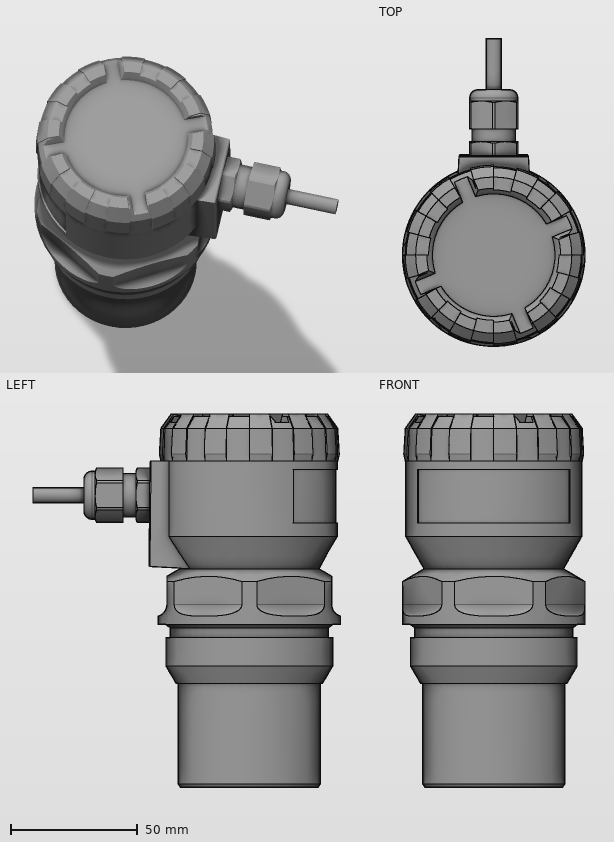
import cadquery as cq
import math

total_height = 147.2
total_depth = 121.3

probe_radius = 56.0 / 2
probe_chamfer = 0.9
probe_chamfer_height = 1.3
collar_cone_bottom_z = 40.9
collar_cone_bottom_radius = 28.8
collar_bottom_z = 47.8
collar_top_z = 59.0
collar_radius = 65.8 / 2
groove_radius = 62.4 / 2
groove_top_z = 62.8
flange_bottom_z = 64.2
flange_bevel_radius = 33.0

flange_radius = 72.0 / 2
flat_count = 6
flats_apothem = 32.5
flats_runout_radius = 4.7
flats_runout_z = 72.0
nut_cone_z = 81.1
neck_z = 86.1
neck_radius = 27.5

housing_radius = 34.7
housing_cone_top_z = 98.9
housing_top_z = 128.6
label_bottom_z = 104.0
label_top_z = 125.2
label_depth = 0.6
label_angle = 120

grip_count = 12
grip_angle = 360 / (2 * grip_count)
lid_radius = 34.9
lid_low_shoulder_radius = 34.5
lid_shoulder_z = 141.4
lid_low_top_z = 146.1
lid_top_radius = 30.8
grip_bulge_radius = 35.5
grip_bulge_z = 131.3
lid_floor_z = 143.8
lid_floor_radius = 24.1
lid_rim_radius = 26.3
notch_count = 4
notch_start_angle = 1.5 * grip_angle
notch_straight_side = 3.4
notch_sloped_side = 2.2
notch_slope = 1.9

boss_half_width = 13.7
boss_front_y = 39.1
boss_front_lean = 0.5
boss_edge_chamfer = 0.5
boss_bottom_z = 87.0
boss_root_y = 14.7
boss_draft = math.radians(3)

gland_z = 115.1
gland_across_flats = 19.1
gland_corner_radius = 10.7
gland_corner_chamfer = 0.6
gland_neck_radius = 17.2 / 2
gland_dome_radius = 19.0 / 2
gland_dome_round = 3.2
gland_base_top_y = 44.7
gland_cap_bottom_y = 49.7
gland_cap_top_y = 60.8
gland_dome_y = 65.2
cable_radius = 6.0 / 2
cable_end_y = total_depth - flange_radius


def revolve_z(points, angle=360):
    """Turn a (radius, z) outline about Z, counterclockwise from +X when seen from above."""
    outline = cq.Workplane("XZ").polyline(points).close()
    return outline.revolve(angle, (0, 0, 0), (0, 1, 0))


def make_body():
    return revolve_z([
        (0, 0),
        (probe_radius - probe_chamfer, 0),
        (probe_radius, probe_chamfer_height),
        (probe_radius, collar_cone_bottom_z),
        (collar_cone_bottom_radius, collar_cone_bottom_z),
        (collar_radius, collar_bottom_z),
        (collar_radius, collar_top_z),
        (groove_radius, collar_top_z),
        (groove_radius, groove_top_z),
        (flange_bevel_radius, flange_bottom_z),
        (flange_radius, flange_bottom_z),
        (flange_radius, nut_cone_z),
        (neck_radius, neck_z),
        (housing_radius, housing_cone_top_z),
        (housing_radius, housing_top_z),
        (0, housing_top_z),
    ])


def cut_wrench_flats(body):
    """Six flats whose lower ends run out through a concave round."""
    run_out = flats_runout_radius
    cutter = (
        cq.Workplane("YZ")
        .moveTo(-flats_apothem, neck_z)
        .lineTo(-flats_apothem, flats_runout_z)
        .radiusArc((-flats_apothem - run_out, flats_runout_z - run_out), run_out)
        .lineTo(-flats_apothem - run_out, neck_z)
        .close()
        .extrude(flange_radius, both=True)
    )
    for i in range(flat_count):
        body = body.cut(cutter.rotate((0, 0, 0), (0, 0, 1), i * 360 / flat_count))
    return body


def make_label_recess():
    floor_radius = housing_radius - label_depth
    outer_radius = housing_radius + label_depth
    recess = revolve_z([
        (floor_radius, label_bottom_z),
        (outer_radius, label_bottom_z),
        (outer_radius, label_top_z),
        (floor_radius, label_top_z),
    ], label_angle)
    front_start_angle = -90 - label_angle / 2
    return recess.rotate((0, 0, 0), (0, 0, 1), front_start_angle)


def make_lid():
    lid = revolve_z([
        (0, housing_top_z),
        (lid_radius, housing_top_z),
        (lid_low_shoulder_radius, lid_shoulder_z),
        (lid_top_radius, lid_low_top_z),
        (0, lid_low_top_z),
    ])
    grip = revolve_z([
        (lid_floor_radius, housing_top_z),
        (lid_radius, housing_top_z),
        (grip_bulge_radius, grip_bulge_z),
        (lid_radius, lid_shoulder_z),
        (lid_top_radius, total_height),
        (lid_floor_radius, total_height),
    ], grip_angle)
    for i in range(grip_count):
        lid = lid.union(grip.rotate((0, 0, 0), (0, 0, 1), 2 * grip_angle * i))
    return lid.cut(make_lid_recess())


def make_lid_recess():
    """Shallow dished recess with four notches leading outwards, each with one sloped wall."""
    recess = revolve_z([
        (0, lid_floor_z),
        (lid_floor_radius, lid_floor_z),
        (lid_rim_radius, total_height),
        (0, total_height),
    ])
    notch = (
        cq.Workplane("YZ")
        .polyline([
            (-notch_sloped_side, lid_floor_z),
            (notch_straight_side, lid_floor_z),
            (notch_straight_side, total_height),
            (-notch_sloped_side - notch_slope, total_height),
        ])
        .close()
        .extrude(flange_radius)
    )
    for i in range(notch_count):
        angle = notch_start_angle + i * 360 / notch_count
        recess = recess.union(notch.rotate((0, 0, 0), (0, 0, 1), angle))
    return recess


def make_boss():
    """Block with drafted sides and underside and a slightly leaning, chamfered front face."""
    spread = (boss_front_y - boss_root_y) * math.tan(boss_draft)
    deepest_y = boss_front_y + boss_front_lean
    side = (
        cq.Workplane("YZ")
        .polyline([
            (boss_root_y, housing_top_z),
            (boss_front_y, housing_top_z),
            (deepest_y, boss_bottom_z),
            (boss_root_y, boss_bottom_z - spread),
        ])
        .close()
        .extrude(housing_radius, both=True)
    )
    plan = (
        cq.Workplane("XY")
        .polyline([
            (-boss_half_width, deepest_y),
            (boss_half_width, deepest_y),
            (boss_half_width + spread, boss_root_y),
            (-boss_half_width - spread, boss_root_y),
        ])
        .close()
        .extrude(total_height)
    )
    boss = side.intersect(plan)
    return boss.faces(">Y").chamfer(boss_edge_chamfer)


def gland_cylinder(radius, start_y, end_y):
    plane = cq.Plane((0, start_y, gland_z), (1, 0, 0), (0, 1, 0))
    return cq.Workplane(plane).circle(radius).extrude(end_y - start_y)


def gland_hexagon(start_y, end_y):
    """Hexagon with flats facing +X and -X, its corners rounded off and chamfered at the far end."""
    plane = cq.Plane((0, start_y, gland_z), (0, 0, 1), (0, 1, 0))
    corner_diameter = gland_across_flats / math.cos(math.pi / 6)
    hexagon = cq.Workplane(plane).polygon(6, corner_diameter).extrude(end_y - start_y)
    blank = gland_cylinder(gland_corner_radius, start_y, end_y)
    blank = blank.faces(">Y").chamfer(gland_corner_chamfer, gland_corner_radius - gland_dome_radius)
    return hexagon.intersect(blank)


def make_gland():
    dome = gland_cylinder(gland_dome_radius, gland_cap_bottom_y, gland_dome_y)
    dome = dome.faces(">Y").edges().fillet(gland_dome_round)
    return (
        gland_hexagon(boss_root_y, gland_base_top_y)
        .union(gland_cylinder(gland_neck_radius, boss_root_y, gland_cap_bottom_y))
        .union(gland_hexagon(gland_cap_bottom_y, gland_cap_top_y))
        .union(dome)
        .union(gland_cylinder(cable_radius, boss_root_y, cable_end_y))
    )


result = make_body()
result = cut_wrench_flats(result)
result = result.cut(make_label_recess())
result = result.union(make_lid()).union(make_boss()).union(make_gland())